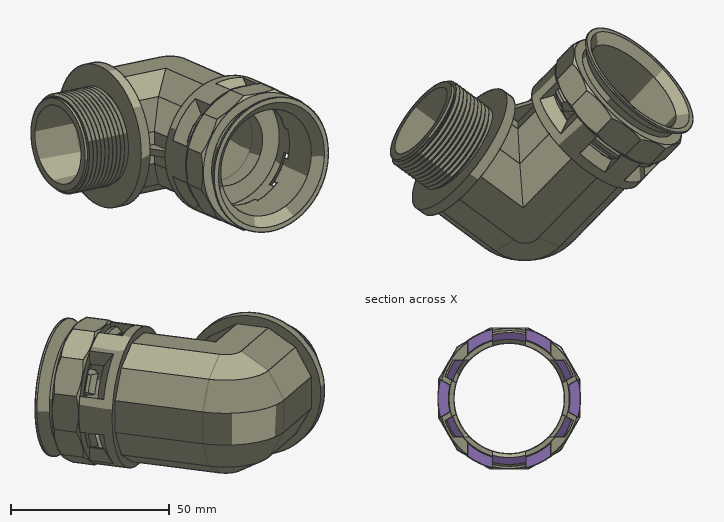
import cadquery as cq
import math


overall_length = 78.9
side_count = 12
margin = 0.8

elbow_apothem = 19.8
bore_radius = 12.7
flange_radius = 23.0
flange_back = 23.7
flange_thickness = 3.4
flange_front = flange_back + flange_thickness
spigot_end = 43.0
rib_width = 2.1

thread_pitch = 1.5
thread_turns = 10
thread_crest_radius = 16.0
thread_root_radius = 14.9
thread_foot_gap = 0.03
thread_overlap = 0.1

collar_radius = 22.5
collar_start = 29.6
collar_end = 40.9
cavity_radius = 19.1
window_start = 32.7
window_cone_length = 3.2
end_window_half_width = 5.2
corner_window_y = 13.1
corner_window_z = 6.0
corner_window_slope = 30

nut_apothem = 22.25
nut_end = 50.1
nut_chamfer = 0.95

sleeve_radius = 18.9
sleeve_bore_radius = 17.35
flare_start = 52.15
flare_radius = 21.9
flare_lip = 0.7
sleeve_end = overall_length - flange_radius

claw_start = 36.9
claw_nose_radius = 19.65
claw_tip_radius = 21.4
claw_tip_start = 38.5
claw_tip_end = 39.6
claw_nose_depth = 2.3
corner_claw_top_z = 12.1
corner_claw_gap = 1.6


def polygon_diameter(apothem):
    """Corner-to-corner diameter of a twelve-sided section."""
    return 2 * apothem / math.cos(math.pi / side_count)


def dodecagon_x(apothem, start, end):
    """Twelve-sided prism along X with flats facing Y and Z."""
    return (
        cq.Workplane("YZ", origin=(start, 0, 0))
        .transformed(rotate=(0, 0, 180 / side_count))
        .polygon(side_count, polygon_diameter(apothem))
        .extrude(end - start)
    )


def cylinder_x(radius, start, end):
    return cq.Workplane("YZ", origin=(start, 0, 0)).circle(radius).extrude(end - start)


def cylinder_y(radius, start, end):
    """Cylinder running from start to end in the -Y direction."""
    return cq.Workplane("XZ", origin=(0, -start, 0)).circle(radius).extrude(end - start)


def ring_x(points):
    """Solid turned about the X axis from (x, radius) points."""
    return cq.Workplane("XY").polyline(points).close().revolve(360, (0, 0, 0), (1, 0, 0))


def elbow_body():
    outlet = dodecagon_x(elbow_apothem, 0, collar_start)
    inlet = dodecagon_x(elbow_apothem, 0, flange_back).rotate((0, 0, 0), (0, 0, 1), -90)
    half_flat = elbow_apothem * math.tan(math.pi / side_count)
    corner = polygon_diameter(elbow_apothem) / 2 * math.sin(math.pi / 4)
    bend = (
        cq.Workplane("YZ")
        .polyline([
            (0, -elbow_apothem),
            (half_flat, -elbow_apothem),
            (corner, -corner),
            (elbow_apothem, -half_flat),
            (elbow_apothem, half_flat),
            (corner, corner),
            (half_flat, elbow_apothem),
            (0, elbow_apothem),
        ])
        .close()
        .revolve(90, (0, 0, 0), (0, 1, 0))
    )
    return outlet.union(inlet).union(bend)


def corner_rib():
    """Gusset between the flange rim and the collar in the inside corner of the elbow."""
    root = elbow_apothem - margin
    return (
        cq.Workplane("XY", origin=(0, 0, -rib_width / 2))
        .polyline([
            (root, -root),
            (root, -flange_back),
            (flange_radius, -flange_back),
            (collar_start, -elbow_apothem),
            (collar_start, -root),
        ])
        .close()
        .extrude(rib_width)
    )


def thread():
    """Helical ridge whose crest leaves the flange face on the +X side and advances towards -Y."""
    half_base = (thread_pitch - thread_foot_gap) / 2
    foot_radius = thread_root_radius - thread_overlap
    swept_length = (thread_turns + 2) * thread_pitch
    path = cq.Wire.makeHelix(thread_pitch, swept_length, thread_root_radius)
    ridge = (
        cq.Workplane("XZ")
        .polyline([
            (foot_radius, -half_base),
            (thread_crest_radius, 0),
            (foot_radius, half_base),
        ])
        .close()
        .sweep(cq.Workplane(path), isFrenet=True)
    )
    ridge = ridge.rotate((0, 0, 0), (1, 0, 0), 90).translate((0, thread_pitch - flange_front, 0))
    thread_end = flange_front + thread_turns * thread_pitch
    return ridge.intersect(cylinder_y(thread_crest_radius + margin, flange_back, thread_end))


def bores():
    """Round passage with a quarter-circle bend that starts level with the flange front."""
    bend_radius = flange_front
    bend = (
        cq.Workplane("XZ", origin=(0, -bend_radius, 0))
        .circle(bore_radius)
        .revolve(90, (bend_radius, 0, 0), (bend_radius, -1, 0))
    )
    return (
        bend
        .union(cylinder_y(bore_radius, bend_radius, spigot_end))
        .union(cylinder_x(bore_radius, bend_radius, window_start))
    )


def end_sections(reach):
    """Block along X over the window length that spans the top and bottom windows."""
    return cq.Workplane("XY").box(
        collar_end - window_start, 2 * end_window_half_width, 2 * reach, centered=(False, True, True)
    ).translate((window_start, 0, 0))


def corner_sections(points):
    """Prisms along X over the window length, one per quadrant, from (y, z) points of the +Y +Z one."""
    section = (
        cq.Workplane("YZ", origin=(window_start, 0, 0))
        .polyline(points)
        .close()
        .extrude(collar_end - window_start)
    )
    upper = section.union(section.mirror("XZ"))
    return upper.union(upper.mirror("XY"))


def sloping_wall_z(y):
    """Height at which the sloping wall of a corner window passes the given Y."""
    surface_y = math.sqrt(collar_radius**2 - corner_window_z**2)
    return corner_window_z + (y - surface_y) * math.tan(math.radians(corner_window_slope))


def windows():
    """Six windows with a conical face towards the elbow."""
    reach = collar_radius + margin
    sections = end_sections(reach).union(
        corner_sections([
            (corner_window_y, sloping_wall_z(corner_window_y)),
            (reach, sloping_wall_z(reach)),
            (reach, reach),
            (corner_window_y, reach),
        ])
    )
    cone_end = window_start + window_cone_length
    opening = ring_x([
        (window_start, reach),
        (window_start, collar_radius),
        (cone_end, cavity_radius),
        (cone_end, cavity_radius - margin),
        (collar_end, cavity_radius - margin),
        (collar_end, reach),
    ])
    return sections.intersect(opening)


def make_housing():
    flange = cylinder_y(flange_radius, flange_back, flange_front)
    spigot = cylinder_y(thread_root_radius, flange_front, spigot_end).union(thread())
    collar = cylinder_x(collar_radius, collar_start, collar_end)
    return (
        elbow_body()
        .union(corner_rib())
        .union(collar)
        .union(flange)
        .cut(cylinder_x(cavity_radius, window_start, collar_end))
        .cut(windows())
        .union(spigot)
        .cut(bores())
    )


def make_nut():
    corner_radius = polygon_diameter(nut_apothem) / 2
    face_radius = corner_radius - nut_chamfer
    envelope = ring_x([
        (collar_end, 0),
        (collar_end, face_radius),
        (collar_end + nut_chamfer, corner_radius),
        (nut_end - nut_chamfer, corner_radius),
        (nut_end, face_radius),
        (nut_end, 0),
    ])
    prism = dodecagon_x(nut_apothem, collar_end, nut_end)
    return prism.intersect(envelope).cut(cylinder_x(sleeve_radius, collar_end, nut_end))


def claw_sections():
    """Prisms along X that bound the claws: one at the top, one at the bottom, four at the sides."""
    reach = claw_tip_radius + margin
    rise = corner_claw_gap / math.cos(math.radians(corner_window_slope))
    inner_y = corner_window_y - margin
    return end_sections(reach).union(
        corner_sections([
            (inner_y, sloping_wall_z(inner_y) + rise),
            (reach, sloping_wall_z(reach) + rise),
            (reach, corner_claw_top_z),
            (inner_y, corner_claw_top_z),
        ])
    )


def claws():
    """Hooked claws: a ring with a pointed rim, kept only where the windows leave room."""
    hook_ring = ring_x([
        (claw_start, claw_nose_radius),
        (claw_tip_start, claw_tip_radius),
        (claw_tip_end, claw_tip_radius),
        (collar_end, sleeve_radius),
        (collar_end, sleeve_bore_radius),
        (claw_start + claw_nose_depth, sleeve_bore_radius),
    ])
    return hook_ring.intersect(claw_sections())


def make_sleeve():
    wall = sleeve_radius - sleeve_bore_radius
    lip_start = sleeve_end - flare_lip
    tube = ring_x([
        (collar_end, sleeve_bore_radius),
        (collar_end, sleeve_radius),
        (flare_start, sleeve_radius),
        (lip_start, flare_radius),
        (sleeve_end, flare_radius),
        (sleeve_end, flare_radius - wall),
        (flare_start + wall / 2, sleeve_bore_radius),
    ])
    return tube.union(claws())


housing = make_housing()
nut = make_nut()
sleeve = make_sleeve()

result = cq.Compound.makeCompound([housing.solids().val(), nut.solids().val(), sleeve.solids().val()])